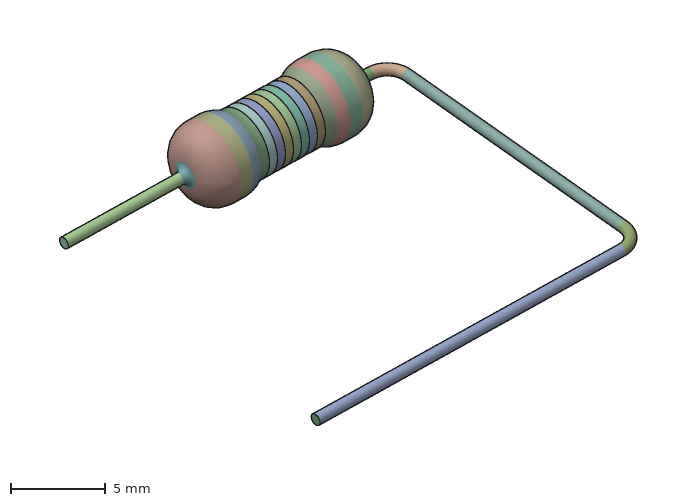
import cadquery as cq
import math

WIRE_DIAMETER = 0.7
LEAD_PITCH = 20.0
LEAD_REACH = 23.0
BEND_RADIUS = 2 * WIRE_DIAMETER

BODY_START = 8.6
BODY_LENGTH = 12.0
CAP_DIAMETER = 5.0
WAIST_DIAMETER = 4.25
WAIST_LENGTH = 3.95
NECK_LENGTH = 1.46
LEAD_FILLET = 0.45

BAND_DIAMETER = 4.27
BAND_COUNT = 4

wire_radius = WIRE_DIAMETER / 2
cap_radius = CAP_DIAMETER / 2
waist_radius = WAIST_DIAMETER / 2
flare_radius = wire_radius + LEAD_FILLET
cap_rounding = cap_radius - flare_radius

body_end = BODY_START + BODY_LENGTH
body_middle = BODY_START + BODY_LENGTH / 2
waist_start = body_middle - WAIST_LENGTH / 2
cap_straight_end = waist_start - NECK_LENGTH
neck_mid_radius = (cap_radius + waist_radius) / 2
neck_mid = waist_start - NECK_LENGTH / 2
band_width = WAIST_LENGTH / (2 * BAND_COUNT - 1)


def make_half_body():
    """Near half of the body: lead flare, rounded cap, S-shaped neck and half the waist."""
    flare_start = BODY_START - LEAD_FILLET
    arc_part = math.sqrt(0.5)
    flare_mid = (flare_radius - LEAD_FILLET * arc_part, flare_start + LEAD_FILLET * arc_part)
    cap_mid = (flare_radius + cap_rounding * arc_part, BODY_START + cap_rounding * (1 - arc_part))
    profile = (
        cq.Workplane("XY")
        .moveTo(0, flare_start)
        .lineTo(wire_radius, flare_start)
        .threePointArc(flare_mid, (flare_radius, BODY_START))
        .threePointArc(cap_mid, (cap_radius, BODY_START + cap_rounding))
        .lineTo(cap_radius, cap_straight_end)
        .tangentArcPoint((neck_mid_radius, neck_mid), relative=False)
        .tangentArcPoint((waist_radius, waist_start), relative=False)
        .lineTo(waist_radius, body_middle)
        .lineTo(0, body_middle)
        .close()
    )
    return profile.revolve(360, (0, 0, 0), (0, 1, 0))


def make_body():
    """Complete body, symmetric about its middle."""
    near_half = make_half_body()
    far_half = near_half.mirror("XZ", (0, body_middle, 0))
    return near_half.union(far_half)


def make_band(start):
    """One colour band, a disc standing slightly proud of the waist."""
    disc = cq.Workplane("XZ", origin=(0, start, 0)).circle(BAND_DIAMETER / 2)
    return disc.extrude(-band_width)


def make_straight_lead():
    """Pin 1, running straight from its tip into the body."""
    return cq.Workplane("XZ").circle(wire_radius).extrude(-body_middle)


def make_bent_lead():
    """Pin 2, leaving the far end of the body and bent twice to run back alongside it."""
    bend_start = LEAD_REACH - BEND_RADIUS
    path = (
        cq.Workplane("XY")
        .moveTo(0, body_end)
        .lineTo(0, bend_start)
        .tangentArcPoint((BEND_RADIUS, LEAD_REACH), relative=False)
        .lineTo(LEAD_PITCH - BEND_RADIUS, LEAD_REACH)
        .tangentArcPoint((LEAD_PITCH, bend_start), relative=False)
        .lineTo(LEAD_PITCH, 0)
    )
    section = cq.Workplane("XZ", origin=(0, body_end, 0)).circle(wire_radius)
    return section.sweep(path)


result = make_body().union(make_straight_lead()).union(make_bent_lead())
for index in range(BAND_COUNT):
    result = result.union(make_band(waist_start + 2 * index * band_width))